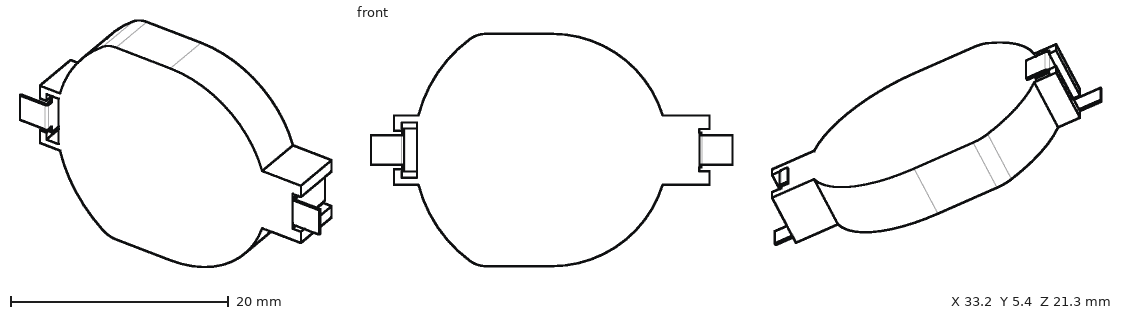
import cadquery as cq
import math

BACK_Y = 2.5
BODY_DEPTH = 5.05
FRONT_Y = BACK_Y - BODY_DEPTH
SHEET = 0.2
PAD_FRONT_Y = -2.7

HALF_HEIGHT = 21.33 / 2
LEFT_RADIUS = 12.65
CORNER_RADIUS = 2.5

LUG_END_X = 14.45
LUG_HALF_WIDTH = 3.2
POCKET_OUTER_X = 13.73
POCKET_INNER_X = 12.37
POCKET_HALF_WIDTH = 2.52
MOUTH_HALF_WIDTH = 1.75
NOTCH_FLOOR_X = 13.53
NOTCH_HALF_WIDTH = 1.92

PAD_END_X = 16.6
PAD_HALF_WIDTH = 1.35
STEP_Y = -1.95
BACK_BEND_RADIUS = 0.3
FRONT_BEND_RADIUS = 0.23
LEFT_WALL_X = POCKET_OUTER_X
LEFT_FOOT_END_X = 11.5
LEFT_HALF_WIDTH = 2.0
LEFT_INNER_BEND = BACK_BEND_RADIUS - SHEET
RIGHT_WALL_X = NOTCH_FLOOR_X + SHEET
RIGHT_FOOT_END_X = 12.8
RIGHT_HALF_WIDTH = 1.6
RIGHT_INNER_BEND = 0


def block(x_range, y_range, half_width):
    """Box between two X and two Y levels, centred on Z = 0."""
    x_min, x_max = sorted(x_range)
    y_min, y_max = sorted(y_range)
    return (
        cq.Workplane("XY")
        .box(x_max - x_min, y_max - y_min, 2 * half_width)
        .translate(((x_min + x_max) / 2, (y_min + y_max) / 2, 0))
    )


def through_block(x_range, half_width):
    """Box through the full depth of the holder."""
    return block(x_range, (FRONT_Y, BACK_Y), half_width)


def make_disc():
    """Round body with two flats, a smaller right arc and a blended left arc."""
    blend_z = HALF_HEIGHT - CORNER_RADIUS
    blend_distance = LEFT_RADIUS - CORNER_RADIUS
    blend_x = -math.sqrt(blend_distance**2 - blend_z**2)
    tangent_x = blend_x * LEFT_RADIUS / blend_distance
    tangent_z = blend_z * LEFT_RADIUS / blend_distance

    middle_angle = (math.atan2(blend_z, blend_x) + math.pi / 2) / 2
    middle_x = blend_x + CORNER_RADIUS * math.cos(middle_angle)
    middle_z = blend_z + CORNER_RADIUS * math.sin(middle_angle)

    return (
        cq.Workplane("XZ", origin=(0, BACK_Y, 0))
        .moveTo(blend_x, HALF_HEIGHT)
        .lineTo(0, HALF_HEIGHT)
        .threePointArc((HALF_HEIGHT, 0), (0, -HALF_HEIGHT))
        .lineTo(blend_x, -HALF_HEIGHT)
        .threePointArc((middle_x, -middle_z), (tangent_x, -tangent_z))
        .threePointArc((-LEFT_RADIUS, 0), (tangent_x, tangent_z))
        .threePointArc((middle_x, middle_z), (blend_x, HALF_HEIGHT))
        .close()
        .extrude(BODY_DEPTH)
    )


def make_holder():
    """Disc with a pocketed lug on the left and a notched lug on the right."""
    lugs = through_block((-LUG_END_X, LUG_END_X), LUG_HALF_WIDTH)
    pocket = through_block((-POCKET_OUTER_X, -POCKET_INNER_X), POCKET_HALF_WIDTH)
    mouth = through_block((-LUG_END_X, -POCKET_INNER_X), MOUTH_HALF_WIDTH)
    notch = through_block((NOTCH_FLOOR_X, LUG_END_X), NOTCH_HALF_WIDTH)
    return make_disc().union(lugs).cut(pocket).cut(mouth).cut(notch)


def make_strip(wall_x, foot_end_x, half_width, inner_bend):
    """Full-width bent sheet on the +X side, with its bends rounded."""
    foot_back_y = BACK_Y + SHEET
    pad_back_y = PAD_FRONT_Y + SHEET
    inner_x = wall_x - SHEET
    profile = [
        (foot_end_x, BACK_Y),
        (foot_end_x, foot_back_y),
        (wall_x, foot_back_y),
        (wall_x, pad_back_y),
        (PAD_END_X, pad_back_y),
        (PAD_END_X, PAD_FRONT_Y),
        (inner_x, PAD_FRONT_Y),
        (inner_x, BACK_Y),
    ]
    strip = (
        cq.Workplane("XY", origin=(0, 0, -half_width))
        .polyline(profile)
        .close()
        .extrude(2 * half_width)
    )
    strip = round_bend(strip, (wall_x, foot_back_y), BACK_BEND_RADIUS)
    strip = round_bend(strip, (inner_x, PAD_FRONT_Y), FRONT_BEND_RADIUS)
    if inner_bend > 0:
        strip = round_bend(strip, (inner_x, BACK_Y), inner_bend)
    return strip


def round_bend(strip, corner, radius):
    """Fillet the edge along Z that passes through an X, Y corner."""
    x, y = corner
    edge = cq.selectors.NearestToPointSelector((x, y, 0))
    return strip.edges("|Z").edges(edge).fillet(radius)


def make_terminal(side, wall_x, foot_end_x, half_width, inner_bend):
    """Bent sheet: foot on the holder's back, wall along Y, pad pointing outwards.

    side is +1 for the right end and -1 for the left; X sizes are magnitudes.
    """
    strip = make_strip(wall_x, foot_end_x, half_width, inner_bend)

    side_width = half_width - PAD_HALF_WIDTH
    side_trim = block((0, PAD_END_X), (PAD_FRONT_Y, STEP_Y), side_width / 2)
    trim_z = PAD_HALF_WIDTH + side_width / 2
    for direction in (-1, 1):
        strip = strip.cut(side_trim.translate((0, 0, direction * trim_z)))

    if side < 0:
        strip = strip.mirror("YZ")
    return strip


holder = make_holder()
left_terminal = make_terminal(-1, LEFT_WALL_X, LEFT_FOOT_END_X, LEFT_HALF_WIDTH, LEFT_INNER_BEND)
right_terminal = make_terminal(1, RIGHT_WALL_X, RIGHT_FOOT_END_X, RIGHT_HALF_WIDTH, RIGHT_INNER_BEND)

result = cq.Compound.makeCompound(
    [holder.solids().val(), left_terminal.solids().val(), right_terminal.solids().val()]
)